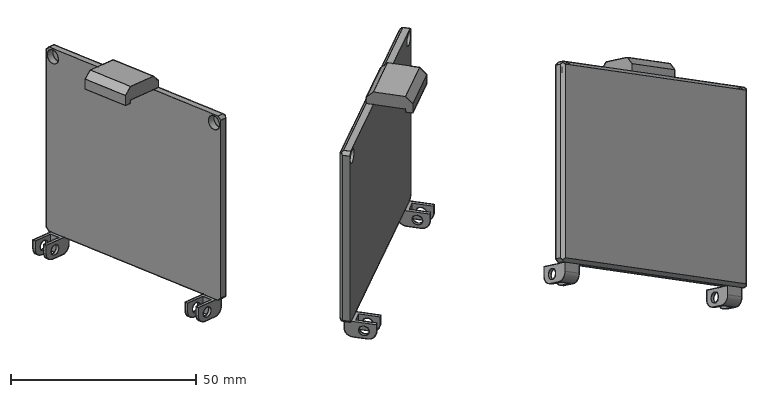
import cadquery as cq


panel_width = 65.0
panel_height = 55.0
panel_thickness = 3.0
panel_bevel = 1.0

pocket_diameter = 4.1
pocket_depth = 2.15
pocket_inset = 2.5

total_depth = 14.0
hook_width = 15.0
hook_height = 4.0
hook_chamfer = 2.0
lip_thickness = 2.0
lip_drop = 1.0

lug_width = 5.0
lug_length = 9.0
lug_height = 5.0
lug_edge_gap = 1.6
lug_corner_radius = lug_height / 2
fork_wall = 1.0
web_thickness = 3.0
pin_diameter = 3.0
pin_from_back = 5.5

attachment_back = -panel_bevel


def make_panel_blank():
    """Plain rectangular plate."""
    return (
        cq.Workplane("XY")
        .box(panel_width, panel_thickness, panel_height, centered=(True, False, False))
        .translate((0, -panel_thickness, 0))
    )


def make_panel():
    """Plate with bevelled back edges and four clipped corners."""
    bevelled = make_panel_blank().faces(">Y").edges().chamfer(panel_bevel)
    clipped = make_panel_blank().edges("|Y").chamfer(panel_bevel)
    return bevelled.intersect(clipped)


def make_pockets():
    """Cylinders that sink the two corner pockets into the front face."""
    pocket_x = panel_width / 2 - pocket_inset
    pocket_z = panel_height - pocket_inset
    return (
        cq.Workplane("XZ", origin=(0, -panel_thickness, 0))
        .pushPoints([(-pocket_x, pocket_z), (pocket_x, pocket_z)])
        .circle(pocket_diameter / 2)
        .extrude(-pocket_depth)
    )


def make_hook():
    """Chamfered bar that reaches forward over the panel and ends in a downward lip."""
    hook_top = panel_height + hook_height
    shoulder = hook_top - hook_chamfer
    lip_bottom = panel_height - lip_drop
    lip_back = -total_depth + lip_thickness
    profile = [
        (attachment_back, panel_height),
        (attachment_back, shoulder),
        (attachment_back - hook_chamfer, hook_top),
        (-total_depth + hook_chamfer, hook_top),
        (-total_depth, shoulder),
        (-total_depth, lip_bottom),
        (lip_back, lip_bottom),
        (lip_back, panel_height),
    ]
    return cq.Workplane("YZ").polyline(profile).close().extrude(hook_width / 2, both=True)


def make_lug(center_x):
    """Lug with rounded lower corners, a slot open to the front and a cross pin hole."""
    lug_middle_y = attachment_back - lug_length / 2
    body = (
        cq.Workplane("XY")
        .box(lug_width, lug_length, lug_height)
        .translate((0, lug_middle_y, -lug_height / 2))
        .edges("|X and <Z")
        .fillet(lug_corner_radius)
    )
    slot = (
        cq.Workplane("XY")
        .box(lug_width - 2 * fork_wall, lug_length, lug_height)
        .translate((0, lug_middle_y - web_thickness, -lug_height / 2))
    )
    pin_hole = (
        cq.Workplane("YZ")
        .center(attachment_back - pin_from_back, -lug_height / 2)
        .circle(pin_diameter / 2)
        .extrude(lug_width, both=True)
    )
    return body.cut(slot).cut(pin_hole).translate((center_x, 0, 0))


result = make_panel().cut(make_pockets()).union(make_hook())

lug_x = panel_width / 2 - lug_edge_gap - lug_width / 2
for center_x in (-lug_x, lug_x):
    result = result.union(make_lug(center_x))